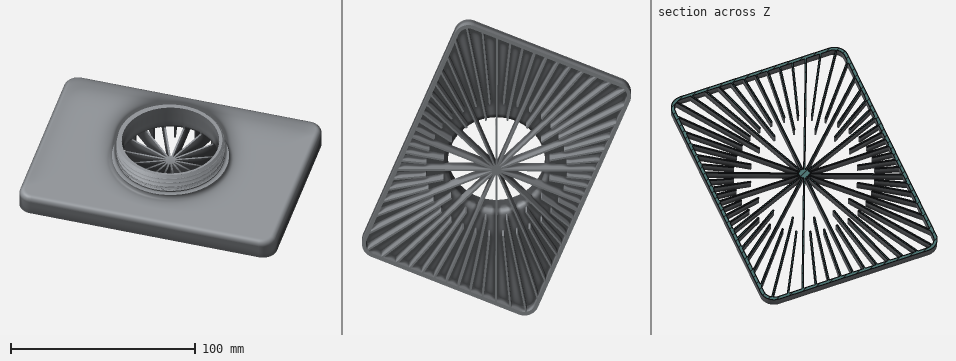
import cadquery as cq
import math

plate_length = 145.0
plate_width = 102.8
plate_height = 11.0
corner_radius = 8.0
edge_radius = 3.0
wall = 2.0
ceiling = plate_height - wall

total_height = 24.5
bore_diameter = 53.0
flare_radius = 2.9
flange_diameter = 63.7
flange_top = 13.5
flange_fillet = 2.0
collar_diameter = 58.7
collar_top = 14.2

thread_crest_diameter = 58.6
thread_root_diameter = 55.3
thread_pitch = 2.8
flank_intervals = 16
crest_angle_at_rim = 140.0
thread_bottom = (flange_top + collar_top) / 2

rib_thickness = 1.0
rib_length = plate_length
spoke_count = 16
spoke_top = 10.2
middle_rib_start = 29.3
outer_rib_start = 38.3
spoke_step = 360 / spoke_count


def make_cover():
    """Solid cover block with rounded corners and a rounded top edge."""
    return (
        cq.Workplane("XY")
        .rect(plate_length, plate_width)
        .extrude(plate_height)
        .edges("|Z")
        .fillet(corner_radius)
        .faces(">Z")
        .edges()
        .fillet(edge_radius)
    )


def make_spigot():
    """Turned spigot: flange blended into the cover, and collar."""
    flange_radius = flange_diameter / 2
    foot_radius = flange_radius + flange_fillet
    collar_radius = collar_diameter / 2
    return (
        cq.Workplane("XZ")
        .moveTo(0, ceiling)
        .lineTo(foot_radius, ceiling)
        .lineTo(foot_radius, plate_height)
        .radiusArc((flange_radius, plate_height + flange_fillet), flange_fillet)
        .lineTo(flange_radius, flange_top)
        .lineTo(collar_radius, flange_top)
        .lineTo(collar_radius, collar_top)
        .lineTo(0, collar_top)
        .close()
        .revolve(360, (0, 0), (0, 1))
    )


def make_thread():
    """Right-hand V thread: a section that swells from root to crest, twisted as it rises."""
    root_radius = thread_root_diameter / 2
    crest_radius = thread_crest_diameter / 2

    def flank_point(turn_fraction):
        """Point on the flank; the crest is at zero and the root half a turn away."""
        radius = crest_radius - (crest_radius - root_radius) * 2 * abs(turn_fraction)
        angle = 2 * math.pi * turn_fraction
        return radius * math.cos(angle), radius * math.sin(angle)

    flank_steps = range(flank_intervals + 1)
    rising_flank = [flank_point(i / flank_intervals / 2 - 0.5) for i in flank_steps]
    falling_flank = [flank_point(i / flank_intervals / 2) for i in flank_steps]
    thread_height = total_height - thread_bottom
    twist = 360 * thread_height / thread_pitch
    return (
        cq.Workplane("XY")
        .spline(rising_flank)
        .spline(falling_flank)
        .wire()
        .twistExtrude(thread_height, twist)
        .rotate((0, 0, 0), (0, 0, 1), crest_angle_at_rim - twist)
        .translate((0, 0, thread_bottom))
    )


def make_ribs(count, first_angle, start):
    """List of evenly spaced radial ribs that begin at the given radius."""
    rib = (
        cq.Workplane("XY")
        .rect(rib_length, rib_thickness)
        .extrude(total_height)
        .translate((start + rib_length / 2, 0, 0))
    )
    step = 360 / count
    return [rib.rotate((0, 0, 0), (0, 0, 1), first_angle + i * step) for i in range(count)]


def make_cavity():
    """Space under the cover, with a flare that leads up into the bore, divided by the ribs."""
    cavity = (
        cq.Workplane("XY")
        .rect(plate_length - 2 * wall, plate_width - 2 * wall)
        .extrude(ceiling)
        .edges("|Z")
        .fillet(corner_radius - wall)
    )
    bore_radius = bore_diameter / 2
    arc_inset = flare_radius * (1 - math.sqrt(0.5))
    flare = (
        cq.Workplane("XZ")
        .lineTo(bore_radius + flare_radius, 0)
        .lineTo(bore_radius + flare_radius, ceiling)
        .threePointArc(
            (bore_radius + arc_inset, ceiling + arc_inset),
            (bore_radius, ceiling + flare_radius),
        )
        .lineTo(0, ceiling + flare_radius)
        .close()
        .revolve(360, (0, 0), (0, 1))
    )
    cavity = cavity.union(flare)
    ribs = (
        make_ribs(spoke_count, 0, 0)
        + make_ribs(spoke_count, spoke_step / 2, middle_rib_start)
        + make_ribs(2 * spoke_count, spoke_step / 4, outer_rib_start)
    )
    return cavity.val().cut(*(rib.val() for rib in ribs))


bore = (
    cq.Workplane("XY")
    .workplane(offset=spoke_top)
    .circle(bore_diameter / 2)
    .extrude(total_height - spoke_top)
)

result = (
    make_cover()
    .union(make_spigot())
    .union(make_thread())
    .cut(bore)
    .cut(make_cavity())
)